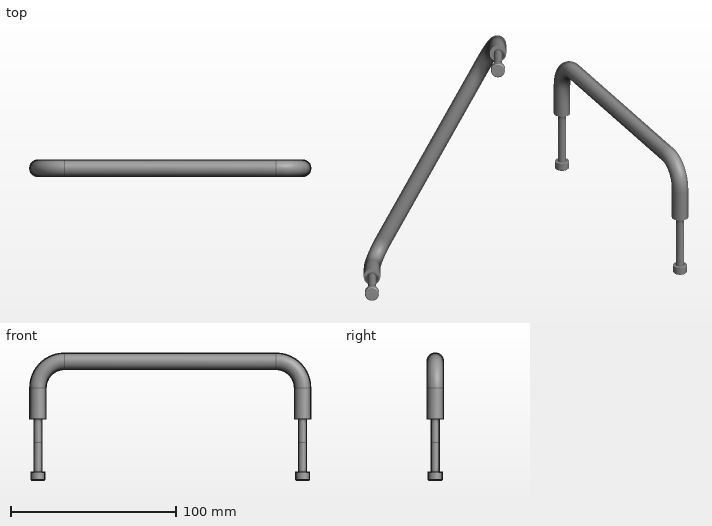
import cadquery as cq

bar_diameter = 10.0
handle_length = 170.0
handle_height = 40.0
bend_radius = 16.0

screw_diameter = 5.0
screw_length = 40.0
plain_shank_length = 18.0
thread_length = screw_length - plain_shank_length
head_diameter = 8.5
head_height = 5.0
head_chamfer = 0.5
grip_length = 32.0

leg_x = (handle_length - bar_diameter) / 2
bar_axis_z = handle_height - bar_diameter / 2
bend_start_z = bar_axis_z - bend_radius
bend_end_x = leg_x - bend_radius
screw_hole_depth = screw_length - grip_length


def make_handle():
    """U-shaped bar with a blind screw hole in the end of each leg."""
    centreline = (
        cq.Workplane("XZ")
        .moveTo(-leg_x, 0)
        .lineTo(-leg_x, bend_start_z)
        .radiusArc((-bend_end_x, bar_axis_z), bend_radius)
        .lineTo(bend_end_x, bar_axis_z)
        .radiusArc((leg_x, bend_start_z), bend_radius)
        .lineTo(leg_x, 0)
    )
    bar = cq.Workplane("XY").center(-leg_x, 0).circle(bar_diameter / 2).sweep(centreline)
    screw_holes = (
        cq.Workplane("XY")
        .pushPoints([(-leg_x, 0), (leg_x, 0)])
        .circle(screw_diameter / 2)
        .extrude(screw_hole_depth)
    )
    return bar.cut(screw_holes)


def make_screw(x):
    """Screw on a vertical axis at x, with its head at the bottom."""
    head_top_z = -grip_length
    head = (
        cq.Workplane("XY", origin=(x, 0, head_top_z - head_height))
        .circle(head_diameter / 2)
        .extrude(head_height)
        .faces("<Z")
        .chamfer(head_chamfer)
    )
    plain_shank = (
        cq.Workplane("XY", origin=(x, 0, head_top_z))
        .circle(screw_diameter / 2)
        .extrude(plain_shank_length)
    )
    thread = (
        cq.Workplane("XY", origin=(x, 0, head_top_z + plain_shank_length))
        .circle(screw_diameter / 2)
        .extrude(thread_length)
    )
    return head.union(plain_shank, clean=False).union(thread, clean=False)


handle = make_handle()
screws = [make_screw(x) for x in (-leg_x, leg_x)]

result = cq.Compound.makeCompound([handle.val(), *[screw.val() for screw in screws]])